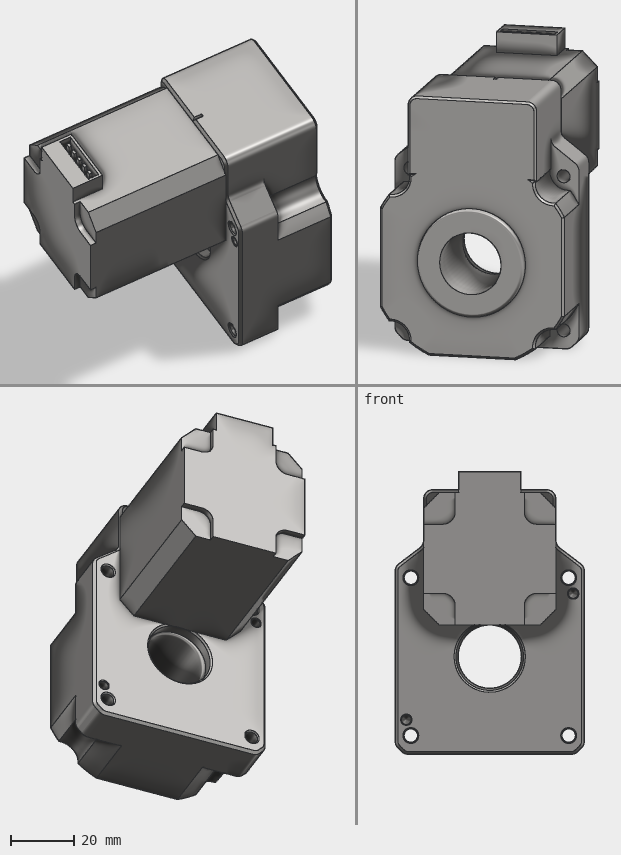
import cadquery as cq
import math


HALF_WIDTH = 30.0
BOTTOM_Z = -31.0
TOP_Z = 52.9
PLATE_DEPTH = 14.0
HOUSING_DEPTH = 33.8
BODY_WIDTH = 41.9
SHOULDER_LOW_Z = 28.5
SHOULDER_HIGH_Z = 35.35
OUTLINE_RADIUS = 3.0
CORNER_CHAMFER = 3.0
FRONT_CHAMFER = 0.9
BACK_CHAMFER = 0.7

CASE_RADIUS = 34.0
RELIEF_OFFSET = 20.5
RELIEF_RADIUS = 6.0

MOUNT_OFFSET = 25.0
MOUNT_DIAMETER = 4.2
MOUNT_MOUTH_DIAMETER = 5.0
DOWEL_X = 26.4
DOWEL_Z = 20.0
DOWEL_DIAMETER = 3.0
DOWEL_MOUTH_DIAMETER = 3.6
DOWEL_DEPTH = 6.0
DRILL_POINT_ANGLE = 118

MARK_WIDTH = 0.9
MARK_DEPTH = FRONT_CHAMFER
MARK_LENGTH = 3.6

FRONT_BORE_DIAMETER = 21.4
FRONT_BORE_MOUTH_DIAMETER = 22.55
FRONT_WALL = 3.9
RING_DIAMETER = 34.9
RING_BORE_DIAMETER = 20.0
RING_FRONT_GAP = 0.5
RING_STICKOUT = 2.15
RING_EDGE_RADIUS = 1.0
RING_BORE_RADIUS = 1.0

MOTOR_LENGTH = 49.5
MOTOR_BOTTOM_Z = 10.0
MOTOR_CHAMFER = 4.9
NOTCH_SIZE = 10.0
NOTCH_DEPTH = 2.1
NOTCH_RADIUS = 4.0

CONNECTOR_WIDTH = 19.7
CONNECTOR_DEPTH = 10.8
CONNECTOR_TOP_Z = 58.5
SOCKET_WIDTH = 17.8
SOCKET_DEPTH = 3.8
SOCKET_WALL = 0.9
SOCKET_HEIGHT = 5.0
PIN_COUNT = 5
PIN_PITCH = 3.2
PIN_WIDTH = 1.5
PIN_DEPTH = 1.0
PIN_HEIGHT = 4.7

BODY_HALF_WIDTH = BODY_WIDTH / 2
CASE_START_Y = PLATE_DEPTH / 2
CASE_Y_RANGE = (CASE_START_Y, HOUSING_DEPTH)
MOTOR_TOP_Z = MOTOR_BOTTOM_Z + BODY_WIDTH
MOTOR_CENTER_Z = MOTOR_BOTTOM_Z + BODY_HALF_WIDTH
MOTOR_END_Y = -MOTOR_LENGTH


def block(x_range, y_range, z_range):
    """Box between two limits along each axis."""
    limits = (x_range, y_range, z_range)
    sizes = [high - low for low, high in limits]
    corner = tuple(low for low, high in limits)
    return cq.Workplane("XY").box(*sizes, centered=False).translate(corner)


def cylinder(diameter, y_start, y_end):
    """Cylinder on the output axis."""
    return cq.Workplane("XZ", origin=(0, y_start, 0)).circle(diameter / 2).extrude(y_start - y_end)


def chamfered_bore(diameter, mouth_diameter, depth, pointed=False):
    """Cutter for a hole from the front face with a 45 degree mouth and, if wanted, a drill point."""
    radius = diameter / 2
    mouth_radius = mouth_diameter / 2
    tip = radius / math.tan(math.radians(DRILL_POINT_ANGLE / 2)) if pointed else 0
    profile = (
        cq.Workplane("XY")
        .moveTo(0, 0)
        .lineTo(mouth_radius, 0)
        .lineTo(radius, mouth_radius - radius)
        .lineTo(radius, depth)
        .lineTo(0, depth + tip)
        .close()
    )
    return profile.revolve(360, (0, 0, 0), (0, 1, 0))


def corner_blocks(inner_offset, size, y_range, corner_radius, center_z=0):
    """Four square blocks around a Y line, each rounded along the edge nearest to that line."""
    inner_edges = {-1: ">", 1: "<"}
    blocks = []
    for x_sign in (-1, 1):
        for z_sign in (-1, 1):
            x_range = sorted((x_sign * inner_offset, x_sign * (inner_offset + size)))
            z_range = sorted((z_sign * inner_offset, z_sign * (inner_offset + size)))
            corner = block(x_range, y_range, z_range)
            inner_edge = f"|Y and {inner_edges[x_sign]}X and {inner_edges[z_sign]}Z"
            blocks.append(corner.edges(inner_edge).fillet(corner_radius).translate((0, 0, center_z)))
    return blocks


def make_flange():
    """Front flange, with the outline of the upper gear box rising above its shoulders."""
    low_x = HALF_WIDTH - CORNER_CHAMFER
    right_side = [
        (low_x, BOTTOM_Z),
        (HALF_WIDTH, BOTTOM_Z + CORNER_CHAMFER),
        (HALF_WIDTH, SHOULDER_LOW_Z),
        (BODY_HALF_WIDTH, SHOULDER_HIGH_Z),
        (BODY_HALF_WIDTH, TOP_Z),
    ]
    left_side = [(-x, z) for x, z in reversed(right_side)]
    flange = cq.Workplane("XZ").polyline(right_side + left_side).close().extrude(-PLATE_DEPTH)
    flange = flange.edges("|Y").fillet(OUTLINE_RADIUS)
    return flange.faces("<Y").chamfer(FRONT_CHAMFER)


def make_round_case():
    """Round gear case behind the flange, relieved at its four corners and trimmed to the flange."""
    wide = (-CASE_RADIUS, CASE_RADIUS)
    narrow = (-RELIEF_OFFSET, RELIEF_OFFSET)
    cross = block(wide, CASE_Y_RANGE, narrow).union(block(narrow, CASE_Y_RANGE, wide))
    middle = (RELIEF_OFFSET + CASE_RADIUS) / 2
    inner_corners = cq.selectors.BoxSelector((-middle, 0, -middle), (middle, HOUSING_DEPTH, middle))
    cross = cross.edges("|Y").edges(inner_corners).fillet(RELIEF_RADIUS)
    disc = cylinder(2 * CASE_RADIUS, *CASE_Y_RANGE)
    trim = block((-HALF_WIDTH, HALF_WIDTH), CASE_Y_RANGE, (BOTTOM_Z, CASE_RADIUS))
    return cross.intersect(disc).intersect(trim).faces(">Y").chamfer(BACK_CHAMFER)


def make_upper_box():
    """Upper gear box; its underside starts where the round case meets the relief walls."""
    underside_z = math.sqrt(CASE_RADIUS**2 - RELIEF_OFFSET**2)
    box = block((-BODY_HALF_WIDTH, BODY_HALF_WIDTH), CASE_Y_RANGE, (underside_z, TOP_Z))
    box = box.edges("|Y and >Z").fillet(OUTLINE_RADIUS)
    return box.faces(">Y").chamfer(BACK_CHAMFER)


def make_index_mark():
    """Cutter for the V groove at the front of the top face."""
    half_width = MARK_WIDTH / 2
    groove = [(-half_width, TOP_Z), (half_width, TOP_Z), (0, TOP_Z - MARK_DEPTH)]
    return cq.Workplane("XZ").polyline(groove).close().extrude(-MARK_LENGTH)


def make_housing():
    """Housing with the ring recess, the front bore, the flange holes and the index mark."""
    housing = make_flange().union(make_round_case()).union(make_upper_box())
    housing = housing.cut(cylinder(RING_DIAMETER, FRONT_WALL, HOUSING_DEPTH))
    housing = housing.cut(chamfered_bore(FRONT_BORE_DIAMETER, FRONT_BORE_MOUTH_DIAMETER, FRONT_WALL))
    mount_hole = chamfered_bore(MOUNT_DIAMETER, MOUNT_MOUTH_DIAMETER, PLATE_DEPTH)
    for x in (-MOUNT_OFFSET, MOUNT_OFFSET):
        for z in (-MOUNT_OFFSET, MOUNT_OFFSET):
            housing = housing.cut(mount_hole.translate((x, 0, z)))
    dowel_hole = chamfered_bore(DOWEL_DIAMETER, DOWEL_MOUTH_DIAMETER, DOWEL_DEPTH, pointed=True)
    for sign in (-1, 1):
        housing = housing.cut(dowel_hole.translate((sign * DOWEL_X, 0, sign * DOWEL_Z)))
    return housing.cut(make_index_mark())


def make_output_ring():
    """Hollow ring on the output axis, rounded at its outer back edge and its inner front edge."""
    front_y = FRONT_WALL + RING_FRONT_GAP
    back_y = HOUSING_DEPTH + RING_STICKOUT
    ring = cylinder(RING_DIAMETER, front_y, back_y).faces(">Y").edges().fillet(RING_EDGE_RADIUS)
    ring = ring.cut(cylinder(RING_BORE_DIAMETER, front_y, back_y))
    return ring.faces("<Y").edges(cq.selectors.RadiusNthSelector(0)).fillet(RING_BORE_RADIUS)


def make_connector():
    """Connector block, rooted in the motor, with a row of pins in its socket."""
    half_width = CONNECTOR_WIDTH / 2
    connector_back_y = MOTOR_END_Y + CONNECTOR_DEPTH
    connector = block(
        (-half_width, half_width), (MOTOR_END_Y, connector_back_y), (MOTOR_CENTER_Z, CONNECTOR_TOP_Z)
    )
    socket_half_width = SOCKET_WIDTH / 2
    socket_back_y = connector_back_y - SOCKET_WALL
    socket_front_y = socket_back_y - SOCKET_DEPTH
    socket_floor_z = CONNECTOR_TOP_Z - SOCKET_HEIGHT
    socket = block(
        (-socket_half_width, socket_half_width),
        (socket_front_y, socket_back_y),
        (socket_floor_z, CONNECTOR_TOP_Z),
    )
    pins = (
        cq.Workplane("XY", origin=(0, (socket_front_y + socket_back_y) / 2, socket_floor_z))
        .rarray(PIN_PITCH, 0.9, PIN_COUNT, 1)
        .rect(PIN_WIDTH, PIN_DEPTH)
        .extrude(PIN_HEIGHT)
    )
    return connector, socket, pins


def make_motor():
    """Square motor with chamfered long edges, notched end corners and a pin connector on top."""
    motor = block((-BODY_HALF_WIDTH, BODY_HALF_WIDTH), (MOTOR_END_Y, 0), (MOTOR_BOTTOM_Z, MOTOR_TOP_Z))
    motor = motor.edges("|Y").chamfer(MOTOR_CHAMFER)
    notch_offset = BODY_HALF_WIDTH - NOTCH_SIZE
    notch_y_range = (MOTOR_END_Y, MOTOR_END_Y + NOTCH_DEPTH)
    for notch in corner_blocks(notch_offset, NOTCH_SIZE, notch_y_range, NOTCH_RADIUS, MOTOR_CENTER_Z):
        motor = motor.cut(notch)
    connector, socket, pins = make_connector()
    return motor.union(connector).cut(socket).union(pins)


housing = make_housing()
output_ring = make_output_ring()
motor = make_motor()

result = cq.Compound.makeCompound([housing.val(), output_ring.val(), motor.val()])